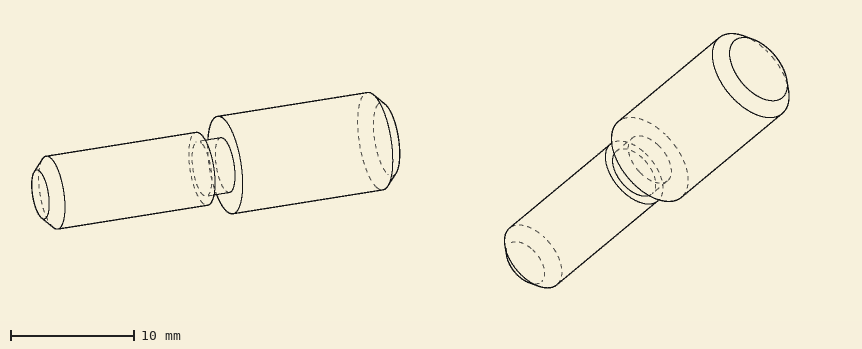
import cadquery as cq

total_length = 30.0
thick_diameter = 8.0
thin_diameter = 6.0
neck_diameter = 4.5
neck_length = 2.0
chamfer = 1.0

shank_length = (total_length - neck_length) / 2


def cylinder_along_y(diameter, start_y, length):
    """Solid cylinder on the Y axis running from start_y toward +Y."""
    base = cq.Workplane("XZ", origin=(0, start_y, 0))
    return base.circle(diameter / 2).extrude(-length)


thin_shank = cylinder_along_y(thin_diameter, -total_length / 2, shank_length)
thin_shank = thin_shank.faces("<Y").chamfer(chamfer)

neck = cylinder_along_y(neck_diameter, -neck_length / 2, neck_length)

thick_shank = cylinder_along_y(thick_diameter, neck_length / 2, shank_length)
thick_shank = thick_shank.faces(">Y").chamfer(chamfer)

result = thick_shank.union(neck).union(thin_shank)